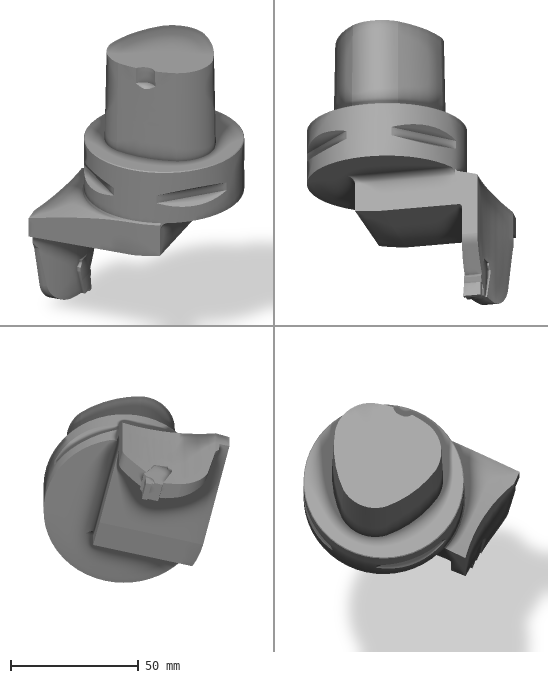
import cadquery as cq
import math


SHANK_LENGTH = 38.1
SHANK_TOP_RADIUS = 21.0
SHANK_BASE_RADIUS = 21.8
LOBE_HEIGHT = 1.7
LOBE_COUNT = 3
LOBE_HALF_ANGLE = 25

NOTCH_RADIUS = 4.8
NOTCH_CENTRE_Y = -21.9
NOTCH_DEPTH = 6.6
NOTCH_POINT_DEPTH = 3.3

COLLAR_RADIUS = 63.0 / 2
COLLAR_HEIGHT = 22.2
COLLAR_CHAMFER = 0.3
GROOVE_COUNT = 4
GROOVE_FLOOR_RADIUS = 27.7
GROOVE_CENTRE_Z = -11.9
GROOVE_FLOOR_WIDTH = 3.3
GROOVE_MOUTH_WIDTH = 7.8

NECK_LEFT_X = -44.4
NECK_RIGHT_X = 10.6
NECK_FRONT_Y = -32.0
NECK_BACK_Y = 9.8
NECK_BOTTOM_Z = -37.1
NECK_BOTTOM_RISE = 0.9
NECK_TOP_SLOPE = 15
NECK_TOP_EDGE_Z = -23.0
NECK_FILLET = 2.6
NECK_WELD_OVERLAP = 1.1

CONCAVE_RADIUS = 65.6
CONCAVE_CREST_X = -38.3
CONCAVE_CREST_Y = 1.1
CONVEX_RADIUS = 36.9
CONVEX_CREST_X = -31.4
BLADE_BOTTOM_Z = -70.7
BLADE_ROOT_FILLET = 1.4

INSERT_LEFT_X = -38.2
INSERT_RIGHT_X = -31.3
INSERT_EDGE_X = -30.7
INSERT_BOTTOM_Z = -72.0
INSERT_HEEL_Z = -71.1
INSERT_TOP_Z = -55.7
CHIP_RECESS_DEPTH = 0.4
CHIP_RECESS_TOP_Z = -66.7
CHIP_RECESS_END_Y = -3.4
INSERT_CORNER_Z = -64.6
INSERT_EDGE_END_Y = -2.1

SELECT_MARGIN = 0.1


def polar(radius, degrees):
    angle = math.radians(degrees)
    return radius * math.cos(angle), radius * math.sin(angle)


def lobed_outline(plane, mean_radius):
    """Closed outline of alternating lobe arcs and flatter side arcs."""
    pitch = 360 / LOBE_COUNT
    seam_radius = mean_radius + LOBE_HEIGHT * math.cos(math.radians(LOBE_COUNT * LOBE_HALF_ANGLE))
    outline = plane.moveTo(*polar(seam_radius, 90 - LOBE_HALF_ANGLE))
    for lobe in range(LOBE_COUNT):
        centre = 90 + lobe * pitch
        outline = outline.threePointArc(
            polar(mean_radius + LOBE_HEIGHT, centre),
            polar(seam_radius, centre + LOBE_HALF_ANGLE),
        ).threePointArc(
            polar(mean_radius - LOBE_HEIGHT, centre + pitch / 2),
            polar(seam_radius, centre + pitch - LOBE_HALF_ANGLE),
        )
    return outline.close()


def make_shank():
    base = lobed_outline(cq.Workplane("XY"), SHANK_BASE_RADIUS)
    top_plane = base.workplane(offset=SHANK_LENGTH)
    return lobed_outline(top_plane, SHANK_TOP_RADIUS).loft(ruled=True).cut(make_notch())


def make_notch():
    rim_z = SHANK_LENGTH - NOTCH_DEPTH
    return (
        cq.Workplane("XZ")
        .moveTo(0, SHANK_LENGTH)
        .lineTo(NOTCH_RADIUS, SHANK_LENGTH)
        .lineTo(NOTCH_RADIUS, rim_z)
        .lineTo(0, rim_z - NOTCH_POINT_DEPTH)
        .close()
        .revolve(360, (0, 0), (0, 1))
        .translate((0, NOTCH_CENTRE_Y, 0))
    )


def make_collar():
    collar = cq.Workplane("XY").circle(COLLAR_RADIUS).extrude(-COLLAR_HEIGHT)
    collar = collar.faces(">Z").chamfer(COLLAR_CHAMFER)
    groove = make_groove()
    for i in range(GROOVE_COUNT):
        angle = 45 + i * 360 / GROOVE_COUNT
        collar = collar.cut(groove.rotate((0, 0, 0), (0, 0, 1), angle))
    return collar


def make_groove():
    """Straight groove with sloped flanks, cut into the +X side of the collar."""
    floor = GROOVE_FLOOR_WIDTH / 2
    mouth = GROOVE_MOUTH_WIDTH / 2
    return (
        cq.Workplane("XZ")
        .moveTo(GROOVE_FLOOR_RADIUS, GROOVE_CENTRE_Z - floor)
        .lineTo(COLLAR_RADIUS, GROOVE_CENTRE_Z - mouth)
        .lineTo(COLLAR_RADIUS, GROOVE_CENTRE_Z + mouth)
        .lineTo(GROOVE_FLOOR_RADIUS, GROOVE_CENTRE_Z + floor)
        .close()
        .extrude(COLLAR_RADIUS, both=True)
    )


def concave_x(y):
    """X of the concave blade face at a given Y."""
    drop = CONCAVE_RADIUS - math.sqrt(CONCAVE_RADIUS**2 - (y - CONCAVE_CREST_Y) ** 2)
    return CONCAVE_CREST_X - drop


def make_neck():
    corner_y = CONCAVE_CREST_Y - math.sqrt(
        CONCAVE_RADIUS**2 - (CONCAVE_RADIUS - CONCAVE_CREST_X + NECK_LEFT_X) ** 2
    )
    round_radius = -NECK_FRONT_Y
    round_end_y = -math.sqrt(round_radius**2 - NECK_RIGHT_X**2)
    middle_angle = -90 + math.degrees(math.asin(NECK_RIGHT_X / round_radius)) / 2
    plan = (
        cq.Workplane("XY", origin=(0, 0, NECK_BOTTOM_Z))
        .moveTo(NECK_LEFT_X, NECK_FRONT_Y)
        .lineTo(0, NECK_FRONT_Y)
        .threePointArc(polar(round_radius, middle_angle), (NECK_RIGHT_X, round_end_y))
        .lineTo(NECK_RIGHT_X, NECK_BACK_Y)
        .lineTo(concave_x(NECK_BACK_Y), NECK_BACK_Y)
        .threePointArc((CONCAVE_CREST_X, CONCAVE_CREST_Y), (NECK_LEFT_X, corner_y))
        .close()
        .extrude(-NECK_BOTTOM_Z - COLLAR_HEIGHT + NECK_WELD_OVERLAP)
    )
    return plan.intersect(make_cone_cap()).cut(make_underside_wedge())


def make_cone_cap():
    """Body of revolution under the conical top of the neck, with its step up to the collar."""
    cone_inner = -NECK_FRONT_Y
    cone_outer = 2 * COLLAR_RADIUS
    outer_z = NECK_TOP_EDGE_Z - (cone_outer - cone_inner) * math.tan(math.radians(NECK_TOP_SLOPE))
    return (
        cq.Workplane("XZ")
        .moveTo(0, NECK_BOTTOM_Z)
        .lineTo(cone_outer, NECK_BOTTOM_Z)
        .lineTo(cone_outer, outer_z)
        .lineTo(cone_inner, NECK_TOP_EDGE_Z)
        .lineTo(COLLAR_RADIUS, -COLLAR_HEIGHT)
        .lineTo(COLLAR_RADIUS, -COLLAR_HEIGHT + NECK_WELD_OVERLAP)
        .lineTo(0, -COLLAR_HEIGHT + NECK_WELD_OVERLAP)
        .close()
        .revolve(360, (0, 0), (0, 1))
    )


def make_underside_wedge():
    return (
        cq.Workplane("XZ")
        .moveTo(0, NECK_BOTTOM_Z)
        .lineTo(NECK_RIGHT_X, NECK_BOTTOM_Z)
        .lineTo(NECK_RIGHT_X, NECK_BOTTOM_Z + NECK_BOTTOM_RISE)
        .close()
        .extrude(-NECK_FRONT_Y, both=True)
    )


def make_blade():
    """Curved plate trimmed to its side outline in the YZ plane."""
    root_z = NECK_BOTTOM_Z + BLADE_ROOT_FILLET
    outline = (
        cq.Workplane("YZ", origin=(NECK_LEFT_X, 0, 0))
        .moveTo(NECK_BACK_Y, root_z)
        .lineTo(NECK_BACK_Y, -49.9)
        .threePointArc((9.2, -52.1), (7.9, -54.1))
        .lineTo(0, -63.3)
        .lineTo(0, BLADE_BOTTOM_Z)
        .lineTo(-13.8, BLADE_BOTTOM_Z)
        .threePointArc((-20.1, -68.0), (-23.7, -61.9))
        .lineTo(-26.4, -44.5)
        .lineTo(-27.9, -42.1)
        .lineTo(-28.1, root_z)
        .close()
        .extrude(CONVEX_CREST_X - NECK_LEFT_X)
    )
    height = root_z - BLADE_BOTTOM_Z
    floor = cq.Workplane("XY", origin=(0, 0, BLADE_BOTTOM_Z))
    convex = floor.center(CONVEX_CREST_X - CONVEX_RADIUS, 0).circle(CONVEX_RADIUS).extrude(height)
    concave = (
        floor.center(CONCAVE_CREST_X - CONCAVE_RADIUS, CONCAVE_CREST_Y)
        .circle(CONCAVE_RADIUS)
        .extrude(height)
    )
    return outline.intersect(convex).cut(concave)


def insert_prism(left_x, right_x):
    """Slanted insert outline, extruded along X."""
    return (
        cq.Workplane("YZ", origin=(left_x, 0, 0))
        .moveTo(-3.2, INSERT_TOP_Z)
        .lineTo(-8.6, INSERT_TOP_Z)
        .lineTo(-8.6, -56.7)
        .lineTo(-10.0, -58.2)
        .lineTo(-10.0, -60.1)
        .lineTo(-6.5, INSERT_HEEL_Z)
        .lineTo(INSERT_EDGE_END_Y, INSERT_HEEL_Z)
        .lineTo(INSERT_EDGE_END_Y, INSERT_BOTTOM_Z)
        .lineTo(0, INSERT_BOTTOM_Z)
        .lineTo(0, CHIP_RECESS_TOP_Z)
        .lineTo(1.0, INSERT_CORNER_Z)
        .lineTo(0, -63.3)
        .close()
        .extrude(right_x - left_x)
    )


def make_insert():
    body = insert_prism(INSERT_LEFT_X, INSERT_EDGE_X)
    flank = (
        cq.Workplane("XZ")
        .moveTo(INSERT_EDGE_X, INSERT_BOTTOM_Z)
        .lineTo(INSERT_RIGHT_X, INSERT_CORNER_Z)
        .lineTo(INSERT_RIGHT_X, INSERT_TOP_Z)
        .lineTo(INSERT_EDGE_X, INSERT_TOP_Z)
        .close()
        .extrude(COLLAR_RADIUS, both=True)
    )
    chip_recess = (
        cq.Workplane("YZ", origin=(INSERT_LEFT_X, 0, 0))
        .moveTo(0, CHIP_RECESS_TOP_Z)
        .lineTo(-1.9, -67.0)
        .threePointArc((-2.5, -67.8), (-2.9, -68.7))
        .lineTo(CHIP_RECESS_END_Y, INSERT_HEEL_Z)
        .lineTo(CHIP_RECESS_END_Y, INSERT_BOTTOM_Z)
        .lineTo(0, INSERT_BOTTOM_Z)
        .close()
        .extrude(CHIP_RECESS_DEPTH)
    )
    return body.cut(flank).cut(chip_recess)


def make_neck_fillet():
    """Rounded foot where the right and back faces of the neck meet the collar."""
    plate = (
        cq.Workplane("XY", origin=(0, 0, -COLLAR_HEIGHT))
        .rect(2 * COLLAR_RADIUS, 2 * COLLAR_RADIUS)
        .extrude(NECK_WELD_OVERLAP)
    )
    block = (
        cq.Workplane("XY", origin=(NECK_RIGHT_X, NECK_BACK_Y, -COLLAR_HEIGHT))
        .rect(-2 * COLLAR_RADIUS, -2 * COLLAR_RADIUS, centered=False)
        .extrude(-NECK_FILLET - NECK_WELD_OVERLAP)
    )
    foot = plate.union(block)
    right_edge = cq.selectors.NearestToPointSelector((NECK_RIGHT_X, -NECK_FILLET, -COLLAR_HEIGHT))
    back_edge = cq.selectors.NearestToPointSelector((-NECK_FILLET, NECK_BACK_Y, -COLLAR_HEIGHT))
    foot = foot.edges(right_edge + back_edge).fillet(NECK_FILLET)
    collar_envelope = (
        cq.Workplane("XY", origin=(0, 0, -COLLAR_HEIGHT - NECK_FILLET))
        .circle(COLLAR_RADIUS)
        .extrude(NECK_FILLET + NECK_WELD_OVERLAP)
    )
    return foot.intersect(collar_envelope)


def make_holder():
    lower = make_neck().union(make_blade())
    root = cq.selectors.BoxSelector(
        (NECK_LEFT_X, NECK_FRONT_Y, NECK_BOTTOM_Z - SELECT_MARGIN),
        (CONVEX_CREST_X + SELECT_MARGIN, NECK_BACK_Y, NECK_BOTTOM_Z + SELECT_MARGIN),
    )
    lower = lower.edges(root).edges("%CIRCLE").fillet(BLADE_ROOT_FILLET)
    holder = make_shank().union(make_collar()).union(lower).union(make_neck_fillet())
    return holder.cut(insert_prism(NECK_LEFT_X, INSERT_EDGE_X))


holder = make_holder()
insert = make_insert()

result = cq.Compound.makeCompound([holder.solids().val(), insert.solids().val()])